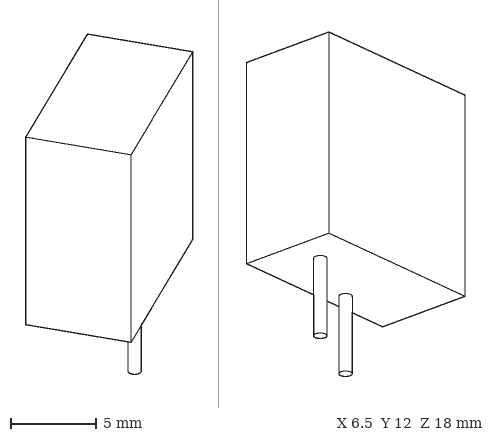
import cadquery as cq

HEIGHT = 18.0
PIN_LENGTH = 5.0
HOUSING_X = 6.5
HOUSING_Y = 12.0
HOUSING_Z = HEIGHT - PIN_LENGTH

PIN_DIAMETER = 0.8
PIN_PITCH_X = 2.48
PIN_PITCH_Y = 5.0
LEFT_PIN_X = -0.5
FRONT_PIN_Y = -1.31
PIN_CENTRES = [
    (LEFT_PIN_X, FRONT_PIN_Y + PIN_PITCH_Y),
    (LEFT_PIN_X + PIN_PITCH_X, FRONT_PIN_Y),
]


def make_housing():
    """Plain rectangular block resting on the plane Z = 0."""
    return cq.Workplane("XY").box(HOUSING_X, HOUSING_Y, HOUSING_Z, centered=(True, True, False))


def make_pin(x, y):
    """Round pin hanging from the underside of the housing."""
    return cq.Workplane("XY").center(x, y).circle(PIN_DIAMETER / 2).extrude(-PIN_LENGTH)


housing = make_housing()
pins = [make_pin(x, y) for x, y in PIN_CENTRES]

result = cq.Compound.makeCompound([housing.val(), *[pin.val() for pin in pins]])